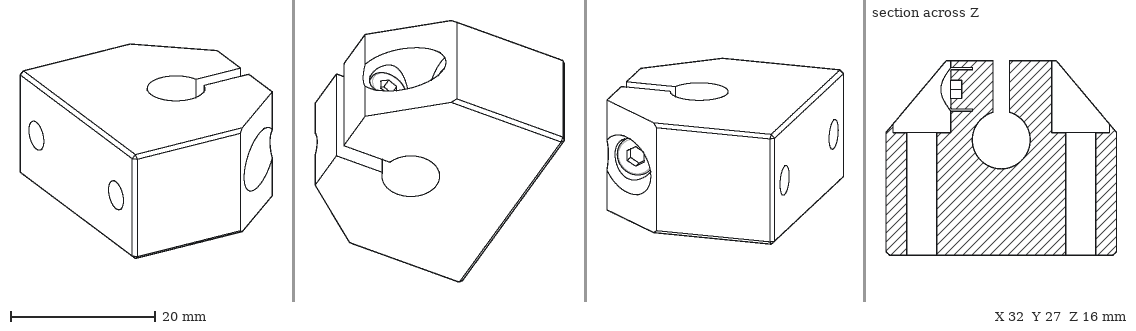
import cadquery as cq
import math

WIDTH = 32.0
DEPTH = 27.0
HEIGHT = 16.0
EDGE_CHAMFER = 0.5

SHOULDER_LENGTH = 10.0
SHOULDER_ANGLE = 40.0
shoulder_inset = SHOULDER_LENGTH * math.tan(math.radians(SHOULDER_ANGLE))

BORE_DIAMETER = 8.0
BORE_FROM_BACK = 11.0
SLIT_WIDTH = 2.25
bore_y = DEPTH - BORE_FROM_BACK

MOUNT_SPACING = 22.0
MOUNT_DIAMETER = 4.13
MOUNT_COUNTERBORE_DIAMETER = 8.0
mount_x = MOUNT_SPACING / 2

SCREW_FROM_BACK = 4.0
SCREW_POCKET_DIAMETER = 6.0
HEAD_DIAMETER = 5.5
HEAD_HEIGHT = 3.0
HEAD_ROUNDING = 0.22
SOCKET_ACROSS_FLATS = 2.45
SOCKET_SIDES = 6
SOCKET_DEPTH = HEAD_HEIGHT / 2
screw_y = DEPTH - SCREW_FROM_BACK
head_top_x = MOUNT_COUNTERBORE_DIAMETER / 2 - mount_x
head_seat_x = head_top_x + HEAD_HEIGHT


def cylinder_along_y(x, start_y, end_y, diameter):
    start = cq.Vector(x, start_y, 0)
    axis = cq.Vector(0, 1, 0)
    return cq.Workplane(cq.Solid.makeCylinder(diameter / 2, end_y - start_y, start, axis))


def screw_plane(x):
    """Plane square to the screw axis, with its normal pointing out to the left."""
    return cq.Workplane(cq.Plane(origin=(x, screw_y, 0), xDir=(0, 0, 1), normal=(-1, 0, 0)))


def make_block():
    block = cq.Workplane("XY").box(WIDTH, DEPTH, HEIGHT).translate((0, DEPTH / 2, 0))
    side_edges = block.faces("<X or >X").edges("|Y")
    front_edges = block.faces("<Y").edges()
    return side_edges.add(front_edges).chamfer(EDGE_CHAMFER)


def make_shoulder_cut(side):
    corner = (side * WIDTH / 2, DEPTH)
    along_back = (side * (WIDTH / 2 - shoulder_inset), DEPTH)
    along_side = (side * WIDTH / 2, DEPTH - SHOULDER_LENGTH)
    outline = cq.Workplane("XY").polyline([corner, along_back, along_side]).close()
    return outline.extrude(HEIGHT / 2, both=True)


def make_mount_cut(side):
    hole = cylinder_along_y(side * mount_x, 0, DEPTH, MOUNT_DIAMETER)
    counterbore = cylinder_along_y(
        side * mount_x, DEPTH - SHOULDER_LENGTH, DEPTH, MOUNT_COUNTERBORE_DIAMETER
    )
    return hole.union(counterbore)


def make_clamp_cut():
    bore = cq.Workplane("XY").center(0, bore_y).circle(BORE_DIAMETER / 2).extrude(HEIGHT / 2, both=True)
    slit_length = DEPTH - bore_y
    slit = cq.Workplane("XY").box(SLIT_WIDTH, slit_length, HEIGHT)
    return bore.union(slit.translate((0, bore_y + slit_length / 2, 0)))


def make_screw_pocket():
    pocket_depth = head_seat_x + mount_x
    return screw_plane(head_seat_x).circle(SCREW_POCKET_DIAMETER / 2).extrude(pocket_depth)


def make_screw_head():
    head = screw_plane(head_seat_x).circle(HEAD_DIAMETER / 2).extrude(HEAD_HEIGHT)
    head = head.faces("<X").edges().fillet(HEAD_ROUNDING)
    across_corners = SOCKET_ACROSS_FLATS / math.cos(math.pi / SOCKET_SIDES)
    socket = screw_plane(head_top_x).polygon(SOCKET_SIDES, across_corners).extrude(-SOCKET_DEPTH)
    return head.cut(socket)


body = make_block().cut(make_clamp_cut())
for side in (-1, 1):
    body = body.cut(make_shoulder_cut(side)).cut(make_mount_cut(side))
result = body.cut(make_screw_pocket()).union(make_screw_head())